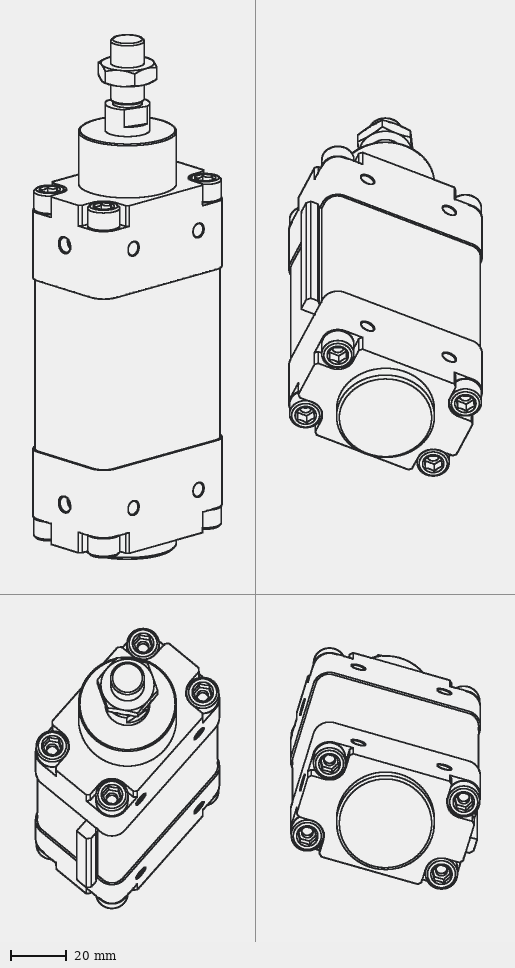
import cadquery as cq
import math


cap_width = 40.0
cap_depth = 62.0
cap_height = 33.0
cap_corner_radius = 6.0
tube_inset = 0.75
tube_corner_radius = 5.0
tube_length = 64.0
front_cap_z = cap_height + tube_length
front_face_z = front_cap_z + cap_height

boss_diameter = 35.0
front_boss_height = 20.0
front_boss_chamfer = 0.5
rear_boss_height = 5.5
rear_boss_chamfer = 1.0

screw_spacing_x = cap_width - 2 * cap_corner_radius
screw_spacing_y = cap_depth - 2 * cap_corner_radius
screw_positions = [
    (sx * screw_spacing_x / 2, sy * screw_spacing_y / 2) for sx in (-1, 1) for sy in (-1, 1)
]
pocket_depth = 7.7
pocket_radius = 6.0
pocket_edge_chamfer = 1.0
head_diameter = 11.5
head_height = pocket_depth
head_foot_diameter = 11.45
head_foot_height = 0.4
head_top_diameter = 10.0
head_chamfer_height = 0.8
socket_mouth_diameter = 7.6
socket_width = 6.0
socket_depth = 5.0
screw_thread_core = 4.13
screw_thread_depth = 8.0

drill_tip_angle = 118.0
mount_core = 4.92
mount_mouth = 5.46
mount_depth = 8.0
mount_spacing = 32.0
port_core = 4.13
port_counterbore = 5.46
port_counterbore_depth = 4.0
port_mouth = 6.2
port_depth = 6.0
hole_from_face = 16.5

rail_left = -12.8
rail_right = -7.1
rail_height = 5.3
rail_top_chamfer = 1.3
rail_undercut_x = 1.0
rail_undercut_start = 4.0
rail_undercut_end = 5.0

rod_diameter = 16.0
collar_length = 10.0
rod_flats_width = 13.0
rod_flats_length = 6.5
rod_flats_angle = -16.0
thread_diameter = 12.0
thread_core = 10.65
neck_length = 1.0
thread_length = 24.0
thread_chamfer = (thread_diameter - thread_core) / 2
nut_width = 19.0
nut_height = 6.0
nut_top_below_tip = 8.9
nut_chamfer_angle = 30.0

boss_face_z = front_face_z + front_boss_height
collar_top_z = boss_face_z + collar_length
rod_tip_z = collar_top_z + thread_length


def rounded_block(width, depth, height, radius, bottom_z):
    block = cq.Workplane("XY").workplane(offset=bottom_z).rect(width, depth).extrude(height)
    return block.edges("|Z").fillet(radius)


def hexagon(width_across_flats, height, bottom_z):
    """Hexagonal prism with two flats facing +X and -X."""
    corner_diameter = width_across_flats / math.cos(math.pi / 6)
    prism = cq.Workplane("XY").polygon(6, corner_diameter).extrude(height)
    return prism.rotate((0, 0, 0), (0, 0, 1), 30).translate((0, 0, bottom_z))


def cone(start_diameter, end_diameter, length):
    """Cone or frustum standing on the XY plane."""
    return cq.Workplane(obj=cq.Solid.makeCone(start_diameter / 2, end_diameter / 2, length))


def drilled_hole(core, depth):
    """Cutter drilled down from Z = 0 with a conical tip."""
    tip_length = core / 2 / math.tan(math.radians(drill_tip_angle / 2))
    tip = cone(core, 0, tip_length).rotate((0, 0, 0), (1, 0, 0), 180).translate((0, 0, -depth))
    return cq.Workplane("XY").circle(core / 2).extrude(-depth).union(tip)


def mouth_chamfer(mouth, core):
    """Cutter for a 45 degree countersink opening at Z = 0."""
    length = (mouth - core) / 2
    return cone(core, mouth, length).translate((0, 0, -length))


def corner_pocket():
    """Cutter below Z = 0 for the (-X, -Y) corner, screw axis at the origin."""
    reach = 2 * cap_corner_radius
    face = -cap_corner_radius
    flare = pocket_radius + pocket_edge_chamfer
    shoulder = face + pocket_edge_chamfer
    outline = (
        cq.Workplane("XY")
        .moveTo(-reach, flare)
        .lineTo(face, flare)
        .lineTo(shoulder, pocket_radius)
        .lineTo(0, pocket_radius)
        .radiusArc((pocket_radius, 0), pocket_radius)
        .lineTo(pocket_radius, shoulder)
        .lineTo(flare, face)
        .lineTo(flare, -reach)
        .lineTo(-reach, -reach)
        .close()
    )
    return outline.extrude(-pocket_depth)


def cap_screw_head():
    """Socket head standing on the pocket floor, pocket mouth at Z = 0."""
    foot_radius = head_foot_diameter / 2
    head_radius = head_diameter / 2
    profile = [
        (0, 0),
        (foot_radius, 0),
        (foot_radius, head_foot_height),
        (head_radius, head_foot_height),
        (head_radius, head_height - head_chamfer_height),
        (head_top_diameter / 2, head_height),
        (0, head_height),
    ]
    head = cq.Workplane("XZ").polyline(profile).close().revolve(360, (0, 0), (0, 1))
    return head.translate((0, 0, -pocket_depth))


def cap_screw_socket():
    """Cutter for the hexagon socket and the thread below it, pocket mouth at Z = 0."""
    head_top_z = head_height - pocket_depth
    socket = hexagon(socket_width, socket_depth, -socket_depth)
    thread = drilled_hole(screw_thread_core, screw_thread_depth)
    mouth = mouth_chamfer(socket_mouth_diameter, socket_width)
    return socket.union(thread).union(mouth).translate((0, 0, head_top_z))


def end_cap():
    """Cap with its screws, tube side on Z = 0 and outer face on top."""
    cap = rounded_block(cap_width, cap_depth, cap_height, cap_corner_radius, 0)
    for x, y in screw_positions:
        pocket = corner_pocket()
        if x > 0:
            pocket = pocket.mirror("YZ")
        if y > 0:
            pocket = pocket.mirror("XZ")
        cap = cap.cut(pocket.translate((x, y, cap_height)))
        cap = cap.union(cap_screw_head().translate((x, y, cap_height)))
        cap = cap.cut(cap_screw_socket().translate((x, y, cap_height)))

    hole_z = cap_height - hole_from_face
    mount = drilled_hole(mount_core, mount_depth).union(mouth_chamfer(mount_mouth, mount_core))
    mount = mount.rotate((0, 0, 0), (0, 1, 0), -90)
    for y in (-mount_spacing / 2, mount_spacing / 2):
        left_mount = mount.translate((-cap_width / 2, y, hole_z))
        cap = cap.cut(left_mount).cut(left_mount.mirror("YZ"))

    port = cq.Workplane("XY").circle(port_core / 2).extrude(-port_depth)
    counterbore = cq.Workplane("XY").circle(port_counterbore / 2).extrude(-port_counterbore_depth)
    port = port.union(counterbore).union(mouth_chamfer(port_mouth, port_counterbore))
    port = port.rotate((0, 0, 0), (1, 0, 0), 90)
    return cap.cut(port.translate((0, -cap_depth / 2, hole_z)))


def sensor_rail():
    top = cap_depth / 2 + rail_height
    root = cap_depth / 2 - 2 * tube_inset
    outline = [
        (rail_right, root),
        (rail_right, top),
        (rail_left + rail_top_chamfer, top),
        (rail_left, top - rail_top_chamfer),
        (rail_left, top - rail_undercut_start),
        (rail_left + rail_undercut_x, top - rail_undercut_end),
        (rail_left + rail_undercut_x, root),
    ]
    return cq.Workplane("XY").workplane(offset=cap_height).polyline(outline).close().extrude(tube_length)


def build_housing():
    tube = rounded_block(
        cap_width - 2 * tube_inset,
        cap_depth - 2 * tube_inset,
        tube_length,
        tube_corner_radius,
        cap_height,
    )
    rear_boss = cq.Workplane("XY").circle(boss_diameter / 2).extrude(-rear_boss_height)
    rear_boss = rear_boss.faces("<Z").chamfer(rear_boss_chamfer)
    front_boss = cq.Workplane("XY").circle(boss_diameter / 2).extrude(front_boss_height)
    front_boss = front_boss.faces(">Z").chamfer(front_boss_chamfer)
    front_cap = end_cap().translate((0, 0, front_cap_z))
    rear_cap = end_cap().mirror("XY").translate((0, 0, cap_height))
    housing = tube.union(sensor_rail()).union(rear_cap).union(front_cap)
    return housing.union(rear_boss).union(front_boss.translate((0, 0, front_face_z)))


def build_piston_rod():
    """Rod end standing on the front boss: collar with wrench flats, neck and thread."""
    collar = cq.Workplane("XY").circle(rod_diameter / 2).extrude(collar_length)
    flats_z = collar_length - rod_flats_length
    clearance = 2 * rod_diameter
    cutter_start = cq.Workplane("XY").workplane(offset=flats_z)
    flats_cutter = (
        cutter_start.rect(clearance, clearance)
        .rect(rod_flats_width, clearance)
        .extrude(rod_flats_length)
    )
    collar = collar.cut(flats_cutter.rotate((0, 0, 0), (0, 0, 1), rod_flats_angle))
    neck = cq.Workplane("XY").workplane(offset=collar_length).circle(thread_core / 2).extrude(neck_length)
    thread = (
        cq.Workplane("XY")
        .workplane(offset=collar_length + neck_length)
        .circle(thread_diameter / 2)
        .extrude(thread_length - neck_length)
        .faces("<Z or >Z")
        .chamfer(thread_chamfer)
    )
    return collar.union(neck).union(thread).translate((0, 0, boss_face_z))


def build_lock_nut():
    """Thin hexagon nut with both ends chamfered, bored to the thread diameter."""
    corner_radius = nut_width / 2 / math.cos(math.pi / 6)
    face_radius = nut_width / 2
    drop = (corner_radius - face_radius) * math.tan(math.radians(nut_chamfer_angle))
    turned_profile = [
        (0, 0),
        (face_radius, 0),
        (corner_radius, drop),
        (corner_radius, nut_height - drop),
        (face_radius, nut_height),
        (0, nut_height),
    ]
    turned = cq.Workplane("XZ").polyline(turned_profile).close().revolve(360, (0, 0), (0, 1))
    nut = hexagon(nut_width, nut_height, 0).intersect(turned)
    bore = cq.Workplane("XY").circle(thread_diameter / 2).extrude(nut_height)
    return nut.cut(bore).translate((0, 0, rod_tip_z - nut_top_below_tip - nut_height))


housing = build_housing()
piston_rod = build_piston_rod()
lock_nut = build_lock_nut()

result = cq.Compound.makeCompound([housing.val(), piston_rod.val(), lock_nut.val()])